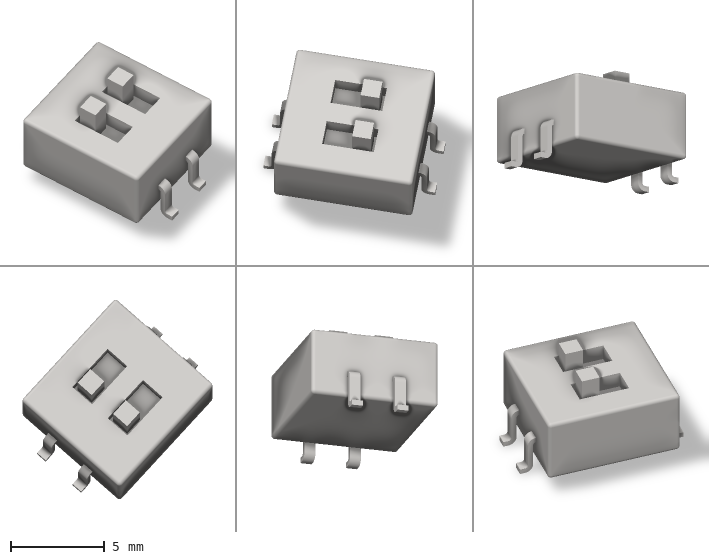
import cadquery as cq
import math

overall_length = 9.3
housing_width = 7.06
overall_height = 5.45
pitch = 2.54

lead_reach = 0.9
housing_length = overall_length - 2 * lead_reach
standoff = 0.8
knob_projection = 1.0
housing_top = overall_height - knob_projection
edge_radius = 0.195

slot_length = 2.8
slot_width = 1.4
slot_depth = 0.9
slot_floor = housing_top - slot_depth
knob_side = 1.0
knob_clearance = (slot_width - knob_side) / 2
knob_x = -slot_length / 2 + knob_clearance + knob_side / 2
plate_thickness = 0.465
plate_width = pitch + slot_width

lead_width = 0.61
lead_thickness = 0.3
lead_top = 2.2
outer_bend = lead_reach / 2
inner_bend = outer_bend - lead_thickness

switch_places = [-pitch / 2, pitch / 2]


def upright_box(length, width, height, x, y, bottom):
    """Box centred on (x, y), standing on the level `bottom`."""
    return cq.Workplane("XY").box(length, width, height, (True, True, False)).translate((x, y, bottom))


def actuator_plate():
    """Plate under both slots; its top is the slot floor."""
    return upright_box(slot_length, plate_width, plate_thickness, 0, 0, slot_floor - plate_thickness)


def make_housing():
    """Rounded block with a slot per switch, opening into a seat for the plate."""
    block = upright_box(housing_length, housing_width, housing_top - standoff, 0, 0, standoff)
    block = block.edges().fillet(edge_radius)
    for y in switch_places:
        block = block.cut(upright_box(slot_length, slot_width, slot_depth, 0, y, slot_floor))
    return block.cut(actuator_plate())


def make_actuator():
    """Plate carrying one square knob in each slot."""
    actuator = actuator_plate()
    for y in switch_places:
        knob = upright_box(knob_side, knob_side, overall_height - slot_floor, knob_x, y, slot_floor)
        actuator = actuator.union(knob)
    return actuator


def make_lead(y):
    """Gull-wing lead on the -X wall, centred on y, ending flush at the wall."""
    wall = -housing_length / 2
    tip = -overall_length / 2
    shank_outer = wall - outer_bend
    shank_inner = shank_outer + lead_thickness
    upper_centre = lead_top - outer_bend
    lower_centre = outer_bend
    foot_end = shank_inner - outer_bend
    diagonal = math.sqrt(0.5)
    outer_diagonal = outer_bend * diagonal
    inner_diagonal = inner_bend * diagonal
    profile = (
        cq.Workplane("XZ", origin=(0, y, 0))
        .moveTo(tip, 0)
        .lineTo(foot_end, 0)
        .threePointArc((foot_end + outer_diagonal, lower_centre - outer_diagonal), (shank_inner, lower_centre))
        .lineTo(shank_inner, upper_centre)
        .threePointArc((wall - inner_diagonal, upper_centre + inner_diagonal), (wall, upper_centre + inner_bend))
        .lineTo(wall, lead_top)
        .threePointArc((wall - outer_diagonal, upper_centre + outer_diagonal), (shank_outer, upper_centre))
        .lineTo(shank_outer, lower_centre)
        .threePointArc((foot_end + inner_diagonal, lower_centre - inner_diagonal), (foot_end, lead_thickness))
        .lineTo(tip, lead_thickness)
        .close()
    )
    return profile.extrude(lead_width / 2, both=True)


housing = make_housing()
actuator = make_actuator()
leads = []
for place in switch_places:
    lead = make_lead(place)
    leads.append(lead.val())
    leads.append(lead.mirror("YZ").val())

result = cq.Compound.makeCompound([housing.val(), actuator.val(), *leads])